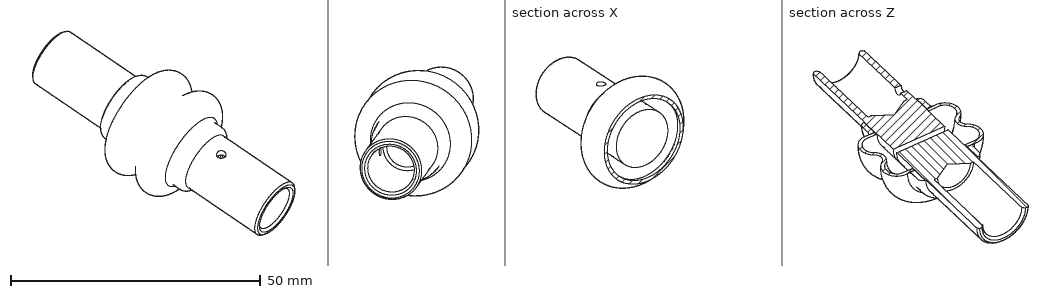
import cadquery as cq
import math

total_length = 58.7
half_length = total_length / 2
shaft_radius = 6.3
shaft_gap = 1.2
outer_chamfer = 0.4

bore_radius = 4.75
bore_depth = 17.6
bore_chamfer = 0.5
drill_point_radius = 4.0
drill_point_angle = 118.0
pin_hole_radius = 0.95
pin_hole_x = 15.05

bellows_diameter = 23.8
crest_radius = 3.25
crest_x = 4.0
valley_floor_radius = 9.7
wall_thickness = 0.9

ring_radius = 7.5
ring_end_x = 10.9
flare_radius = 0.65

crest_center = bellows_diameter / 2 - crest_radius
flare_tip_radius = ring_radius + flare_radius
side_angle = math.asin((flare_tip_radius - crest_center) / crest_radius)
bellows_side_x = crest_x + crest_radius * math.cos(side_angle)
floor_rise = valley_floor_radius - crest_center
valley_radius = (crest_x**2 + floor_rise**2 - crest_radius**2) / (2 * (crest_radius - floor_rise))
valley_center = valley_floor_radius + valley_radius
tangent_angle = math.atan2(valley_center - crest_center, crest_x)


def revolve_about_x(profile):
    """Turn a closed (x, radius) outline into a solid of revolution."""
    return profile.close().revolve(360, (0, 0, 0), (1, 0, 0))


def arc_point(center_x, center_r, radius, angle):
    """Point at an angle (radians) on a circle in the (x, radius) plane."""
    return center_x + radius * math.cos(angle), center_r + radius * math.sin(angle)


def bellows_skin(inset):
    """Solid bounded by the bellows outer surface moved inwards by inset."""
    crest = crest_radius - inset
    valley = valley_radius + inset
    side_x, side_r = arc_point(crest_x, crest_center, crest, side_angle)
    valley_mid_angle = math.pi / 4 + tangent_angle / 2
    left_valley_mid = arc_point(0, valley_center, valley, math.pi + valley_mid_angle)
    right_valley_mid = arc_point(0, valley_center, valley, -valley_mid_angle)
    crest_top = crest_center + crest
    profile = (
        cq.Workplane("XY")
        .moveTo(-side_x, 0)
        .lineTo(-side_x, side_r)
        .threePointArc((-crest_x, crest_top), arc_point(-crest_x, crest_center, crest, tangent_angle))
        .threePointArc(left_valley_mid, (0, valley_center - valley))
        .threePointArc(right_valley_mid, arc_point(crest_x, crest_center, crest, math.pi - tangent_angle))
        .threePointArc((crest_x, crest_top), (side_x, side_r))
        .lineTo(side_x, 0)
    )
    return revolve_about_x(profile)


def make_bellows():
    """Hollow two-fold bellows whose end walls fit around the shafts."""
    shaft_opening = (
        cq.Workplane("YZ")
        .circle(shaft_radius)
        .extrude(bellows_side_x, both=True)
    )
    return bellows_skin(0).cut(bellows_skin(wall_thickness)).cut(shaft_opening)


def make_ring():
    """Clamp ring on the +X shaft: rounded outer edge, flared against the bellows."""
    round_radius = ring_radius - shaft_radius
    flare_center = (bellows_side_x + flare_radius, flare_tip_radius)
    profile = (
        cq.Workplane("XY")
        .moveTo(bellows_side_x, shaft_radius)
        .lineTo(bellows_side_x, flare_tip_radius)
        .threePointArc(
            arc_point(*flare_center, flare_radius, -3 * math.pi / 4),
            (bellows_side_x + flare_radius, ring_radius),
        )
        .lineTo(ring_end_x - round_radius, ring_radius)
        .threePointArc(
            arc_point(ring_end_x - round_radius, shaft_radius, round_radius, math.pi / 4),
            (ring_end_x, shaft_radius),
        )
    )
    return revolve_about_x(profile)


def make_shaft():
    """Shaft on the +X side with a chamfered socket and a pin hole through its top wall."""
    bore_end_x = half_length - bore_depth
    point_depth = drill_point_radius / math.tan(math.radians(drill_point_angle / 2))
    profile = (
        cq.Workplane("XY")
        .moveTo(shaft_gap / 2, 0)
        .lineTo(shaft_gap / 2, shaft_radius)
        .lineTo(half_length - outer_chamfer, shaft_radius)
        .lineTo(half_length, shaft_radius - outer_chamfer)
        .lineTo(half_length, bore_radius + bore_chamfer)
        .lineTo(half_length - bore_chamfer, bore_radius)
        .lineTo(bore_end_x, bore_radius)
        .lineTo(bore_end_x, drill_point_radius)
        .lineTo(bore_end_x - point_depth, 0)
    )
    pin_hole = (
        cq.Workplane("XY")
        .center(pin_hole_x, 0)
        .circle(pin_hole_radius)
        .extrude(shaft_radius)
    )
    return revolve_about_x(profile).cut(pin_hole)


def turn_to_other_side(body):
    """Move a +X body to the -X side, turned a quarter so that its top faces +Y."""
    return body.rotate((0, 0, 0), (0, 0, 1), 180).rotate((0, 0, 0), (1, 0, 0), -90)


bellows = make_bellows()
rings = []
shafts = []
for place in (lambda body: body, turn_to_other_side):
    rings.append(place(make_ring()).val())
    shafts.append(place(make_shaft()).val())

result = cq.Compound.makeCompound([bellows.val(), *rings, *shafts])